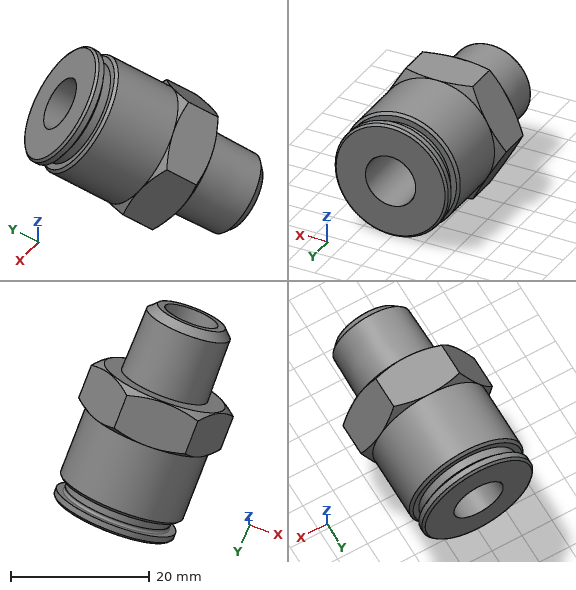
import cadquery as cq
import math

total_length = 32.2
thread_length = 11.0
hex_top = 18.03
body_top = 29.0
groove_start = 30.3
flange_start = 30.95

bore_diameter = 8.2
thread_tip_diameter = 12.95
thread_root_diameter = 13.35
body_diameter = 19
hex_seat_diameter = 18.68
neck_diameter = 16.25
groove_diameter = 15.87
groove_rim_diameter = 16.42
flange_diameter = 18.5

hex_across_flats = 19
hex_corner_diameter = hex_across_flats / math.cos(math.radians(30))
hex_chamfer_angle = 30
thread_chamfer = 1.22
body_chamfer = 0.42
flange_chamfer = 0.35


def revolve_outline(outline):
    """Turn an open outline that starts and ends on the Y axis into a solid."""
    return outline.close().revolve(360, (0, 0, 0), (0, 1, 0))


def make_turned_body():
    """Tapered threaded end, cylindrical body, grooved neck and release flange."""
    tip_radius = thread_tip_diameter / 2
    body_radius = body_diameter / 2
    neck_radius = neck_diameter / 2
    flange_radius = flange_diameter / 2
    groove_middle = (groove_start + flange_start) / 2
    root_radius = thread_root_diameter / 2
    outline = (
        cq.Workplane("XY")
        .lineTo(tip_radius - thread_chamfer, 0)
        .lineTo(tip_radius, thread_chamfer)
        .lineTo(root_radius, thread_length)
        .lineTo(root_radius, hex_top)
        .lineTo(body_radius, hex_top)
        .lineTo(body_radius, body_top - body_chamfer)
        .lineTo(body_radius - body_chamfer, body_top)
        .lineTo(neck_radius, body_top)
        .lineTo(neck_radius, groove_start)
        .threePointArc((groove_diameter / 2, groove_middle), (groove_rim_diameter / 2, flange_start))
        .lineTo(flange_radius, flange_start)
        .lineTo(flange_radius, total_length - flange_chamfer)
        .lineTo(flange_radius - flange_chamfer, total_length)
        .lineTo(0, total_length)
    )
    return revolve_outline(outline)


def make_hexagon():
    """Wrench hexagon with corners on the X axis, both ends trimmed by cones."""
    prism = (
        cq.Workplane("XZ", origin=(0, hex_top, 0))
        .polygon(6, hex_corner_diameter)
        .extrude(hex_top - thread_length)
    )
    corner_radius = hex_corner_diameter / 2
    seat_radius = hex_seat_diameter / 2
    top_radius = body_diameter / 2
    slope = math.tan(math.radians(hex_chamfer_angle))
    envelope = revolve_outline(cq.Workplane("XY").polyline([
        (0, thread_length),
        (seat_radius, thread_length),
        (corner_radius, thread_length + (corner_radius - seat_radius) * slope),
        (corner_radius, hex_top - (corner_radius - top_radius) * slope),
        (top_radius, hex_top),
        (0, hex_top),
    ]))
    return prism.intersect(envelope)


def make_bore():
    """Straight passage through the whole length."""
    return cq.Workplane("XZ").circle(bore_diameter / 2).extrude(-total_length)


result = make_turned_body().union(make_hexagon()).cut(make_bore())